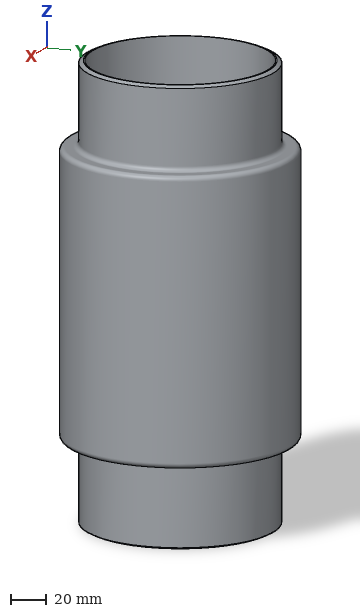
import cadquery as cq

LENGTH = 270.0
BODY_LENGTH = 170.0
BODY_RADIUS = 68.0
NECK_RADIUS = 57.2
BORE_RADIUS = 53.7

BODY_ROUND = 3.0
NECK_FILLET = 3.0
BEVEL_WIDTH = 2.7
BEVEL_HEIGHT = 1.4

END = LENGTH / 2
BEVEL_START = END - BEVEL_HEIGHT
SHOULDER = BODY_LENGTH / 2
FILLET_END = SHOULDER + NECK_FILLET
ROUND_START = SHOULDER - BODY_ROUND

RIM_RADIUS = NECK_RADIUS - BEVEL_WIDTH
SHOULDER_INNER_RADIUS = NECK_RADIUS + NECK_FILLET
SHOULDER_OUTER_RADIUS = BODY_RADIUS - BODY_ROUND


def wall_section():
    """Section through the wall on the -X side of the axis, symmetric about mid-height."""
    return (
        cq.Workplane("XZ")
        .moveTo(-BORE_RADIUS, END)
        .lineTo(-RIM_RADIUS, END)
        .lineTo(-NECK_RADIUS, BEVEL_START)
        .lineTo(-NECK_RADIUS, FILLET_END)
        .tangentArcPoint((-SHOULDER_INNER_RADIUS, SHOULDER), relative=False)
        .lineTo(-SHOULDER_OUTER_RADIUS, SHOULDER)
        .tangentArcPoint((-BODY_RADIUS, ROUND_START), relative=False)
        .lineTo(-BODY_RADIUS, -ROUND_START)
        .tangentArcPoint((-SHOULDER_OUTER_RADIUS, -SHOULDER), relative=False)
        .lineTo(-SHOULDER_INNER_RADIUS, -SHOULDER)
        .tangentArcPoint((-NECK_RADIUS, -FILLET_END), relative=False)
        .lineTo(-NECK_RADIUS, -BEVEL_START)
        .lineTo(-RIM_RADIUS, -END)
        .lineTo(-BORE_RADIUS, -END)
        .close()
    )


result = wall_section().revolve(360, (0, 0, 0), (0, 1, 0))